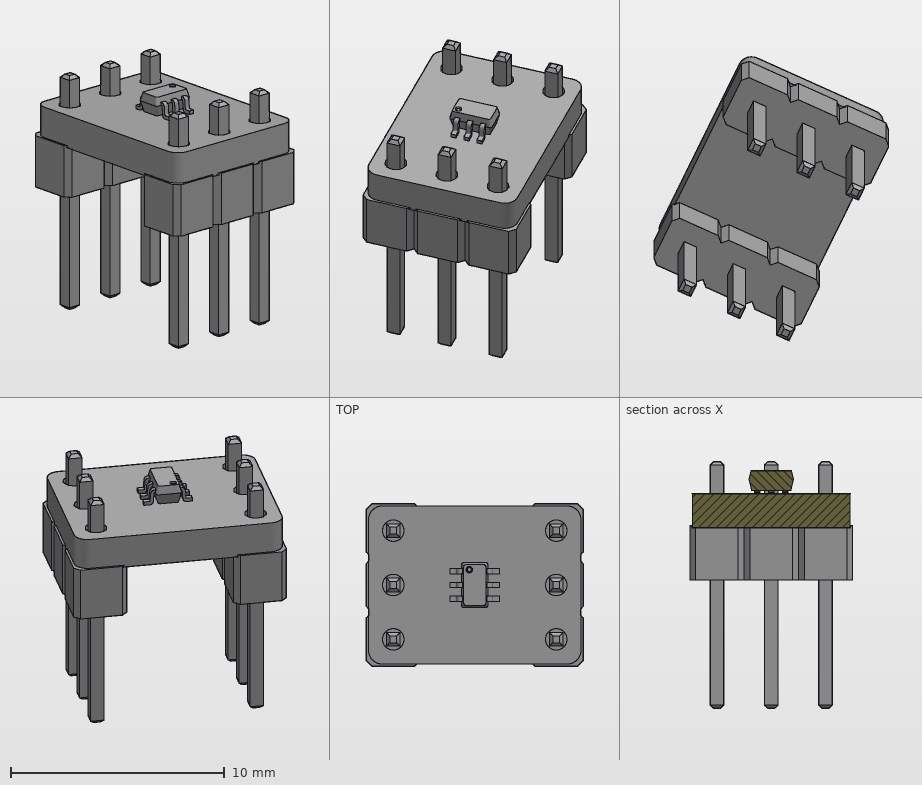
import cadquery as cq

pitch = 2.54
pins_per_row = 3
row_offset = 1.5 * pitch
pin_y = [(i - (pins_per_row - 1) / 2) * pitch for i in range(pins_per_row)]

pin_length = 11.54
pin_width = 0.65
tip_taper = pin_width / 4
housing_bottom = 6.0
housing_height = 2.54
housing_corner = 0.28
seat_depth = 0.1

board_length = 9.92
board_width = 7.39
board_thickness = 1.6
board_corner_radius = 0.63
board_hole_diameter = 1.0
board_bottom = housing_bottom + housing_height - seat_depth
board_top = board_bottom + board_thickness

chip_gap = 0.06
foot_plane = board_top + chip_gap
package_width = 1.22
package_length = 2.1
package_corner_radius = 0.1
package_draft = 13.5
parting_height = 0.61
package_parting = foot_plane + parting_height
package_upper_height = 0.4
package_lower_height = 0.53
marker_diameter = 0.3
marker_floor_diameter = 0.2
marker_depth = 0.06
marker_x = -0.25
marker_y = 0.72

lead_pitch = 0.65
leads_per_side = 3
lead_width = 0.25
lead_thickness = 0.15
foot_thickness = 0.17
lead_reach = 1.15
lead_height = 0.75
lead_top = foot_plane + lead_height
heel_x = 0.87
shoulder_x = 0.82
lead_root_x = 0.35
inner_bend_radius = 0.03
outer_bend_radius = inner_bend_radius + lead_thickness


def make_pin(x, y):
    """Square pin with bevelled tips."""
    pin = cq.Workplane("XY").box(pin_width, pin_width, pin_length, centered=(True, True, False))
    pin = pin.faces("<Z or >Z").chamfer(tip_taper)
    return pin.translate((x, y, 0))


def make_board_blank():
    """Board outline without holes."""
    blank = cq.Workplane("XY").box(board_length, board_width, board_thickness, centered=(True, True, False))
    blank = blank.edges("|Z").fillet(board_corner_radius)
    return blank.translate((0, 0, board_bottom))


def make_board():
    """Rounded board with a clearance hole for every pin."""
    hole_centres = [(side * row_offset, y) for side in (-1, 1) for y in pin_y]
    holes = (
        cq.Workplane("XY", origin=(0, 0, board_bottom))
        .pushPoints(hole_centres)
        .circle(board_hole_diameter / 2)
        .extrude(board_thickness)
    )
    return make_board_blank().cut(holes)


def make_header(x):
    """Row of chamfered housing segments fused with their pins, recessed to seat the board."""
    segment = (
        cq.Workplane("XY")
        .box(pitch, pitch, housing_height, centered=(True, True, False))
        .edges("|Z")
        .chamfer(housing_corner)
    )
    housing = cq.Workplane("XY")
    for y in pin_y:
        housing = housing.union(segment.translate((x, y, housing_bottom)))
    header = housing.cut(make_board_blank())
    for y in pin_y:
        header = header.union(make_pin(x, y))
    return header


def make_lead(y):
    """Gull-wing lead on the +X side, with rounded shoulder and heel."""
    root_bottom = lead_top - lead_thickness
    foot_top = foot_plane + foot_thickness
    profile = [
        (lead_root_x, lead_top),
        (shoulder_x, lead_top),
        (heel_x, foot_top),
        (lead_reach, foot_top),
        (lead_reach, foot_plane),
        (heel_x - lead_thickness, foot_plane),
        (shoulder_x - lead_thickness, root_bottom),
        (lead_root_x, root_bottom),
    ]
    bends = [
        (profile[1], outer_bend_radius),
        (profile[2], inner_bend_radius),
        (profile[5], outer_bend_radius),
        (profile[6], inner_bend_radius),
    ]
    lead = cq.Workplane("XZ").polyline(profile).close().extrude(lead_width / 2, both=True)
    for (corner_x, corner_z), radius in bends:
        corner = cq.selectors.NearestToPointSelector((corner_x, 0, corner_z))
        lead = lead.edges("|Y").edges(corner).fillet(radius)
    return lead.translate((0, y, 0))


def make_package_half(height):
    """Drafted half of the package, growing away from the parting plane (up or down)."""
    half = (
        cq.Workplane("XY", origin=(0, 0, package_parting))
        .rect(package_width, package_length)
        .extrude(height, taper=package_draft)
    )
    return half.edges("not(|X or |Y)").fillet(package_corner_radius)


def make_chip():
    """Six-lead package with a tapered round pin-one marker sunk in its top face."""
    chip = make_package_half(package_upper_height).union(make_package_half(-package_lower_height))
    for i in range(leads_per_side):
        lead = make_lead((i - (leads_per_side - 1) / 2) * lead_pitch)
        chip = chip.union(lead).union(lead.mirror("YZ"))
    marker = (
        cq.Workplane("XY", origin=(marker_x, marker_y, package_parting + package_upper_height))
        .circle(marker_diameter / 2)
        .workplane(offset=-marker_depth)
        .circle(marker_floor_diameter / 2)
        .loft()
    )
    return chip.cut(marker)


board = make_board()
headers = [make_header(side * row_offset) for side in (-1, 1)]
chip = make_chip()

result = cq.Compound.makeCompound([body.solids().val() for body in (board, *headers, chip)])